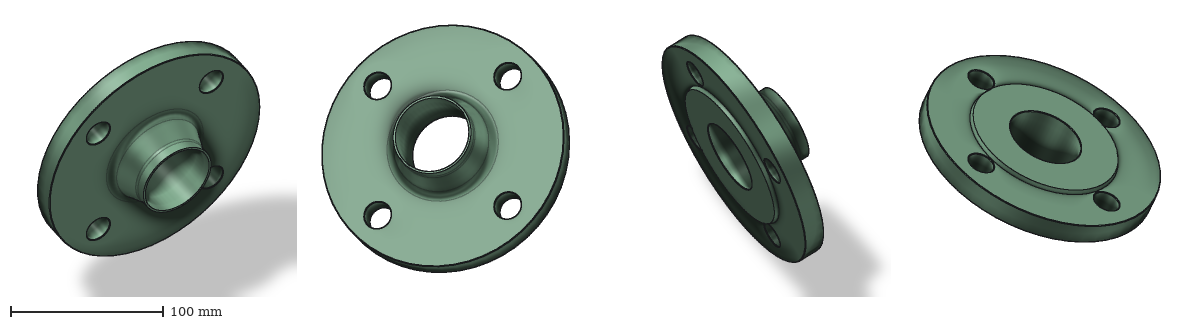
import cadquery as cq

face_height = 3.0
flange_thickness = 15.0
flange_back = face_height + flange_thickness
cone_end = 37.3
overall_length = 45.0

flange_diameter = 165
face_tip_diameter = 102.3
face_root_diameter = 104.6
cone_root_diameter = 67.6
neck_diameter = 53.0
bore_diameter = 50.0
bolt_hole_diameter = 18.0

bolt_circle_diameter = 125.0
bolt_count = 4
first_bolt_angle = 45

hub_fillet = 6.0
edge_chamfer = 0.5
match_tolerance = 0.02


def chamfer_circles(body, diameter):
    """Chamfer every circular edge of the given diameter."""
    edges = body.edges("%CIRCLE").filter(
        lambda edge: abs(2 * edge.radius() - diameter) < match_tolerance
    )
    return edges.chamfer(edge_chamfer)


def make_body():
    """Revolve the solid flange, raised face and welding neck about the X axis."""
    profile = [
        (0, 0),
        (0, face_tip_diameter / 2),
        (face_height, face_root_diameter / 2),
        (face_height, flange_diameter / 2),
        (flange_back, flange_diameter / 2),
        (flange_back, cone_root_diameter / 2),
        (cone_end, neck_diameter / 2),
        (overall_length, neck_diameter / 2),
        (overall_length, 0),
    ]
    body = cq.Workplane("XY").polyline(profile).close().revolve(360, (0, 0, 0), (1, 0, 0))
    hub_cone_edges = body.faces("%CONE").faces(">X").edges("%CIRCLE")
    body = hub_cone_edges.fillet(hub_fillet)
    return chamfer_circles(body, flange_diameter)


def drill_bore(body):
    """Cut the straight bore and break its edge at the sealing face."""
    body = body.cut(cq.Workplane("YZ").circle(bore_diameter / 2).extrude(overall_length))
    bore_edge = body.faces("<X").edges(cq.selectors.RadiusNthSelector(0))
    return bore_edge.chamfer(edge_chamfer)


def drill_bolt_holes(body):
    """Cut the bolt holes and break their edges on both flange faces."""
    holes = (
        cq.Workplane("YZ", origin=(face_height, 0, 0))
        .polarArray(bolt_circle_diameter / 2, first_bolt_angle, 360, bolt_count)
        .circle(bolt_hole_diameter / 2)
        .extrude(flange_thickness)
    )
    body = body.cut(holes)
    return chamfer_circles(body, bolt_hole_diameter)


result = drill_bolt_holes(drill_bore(make_body()))